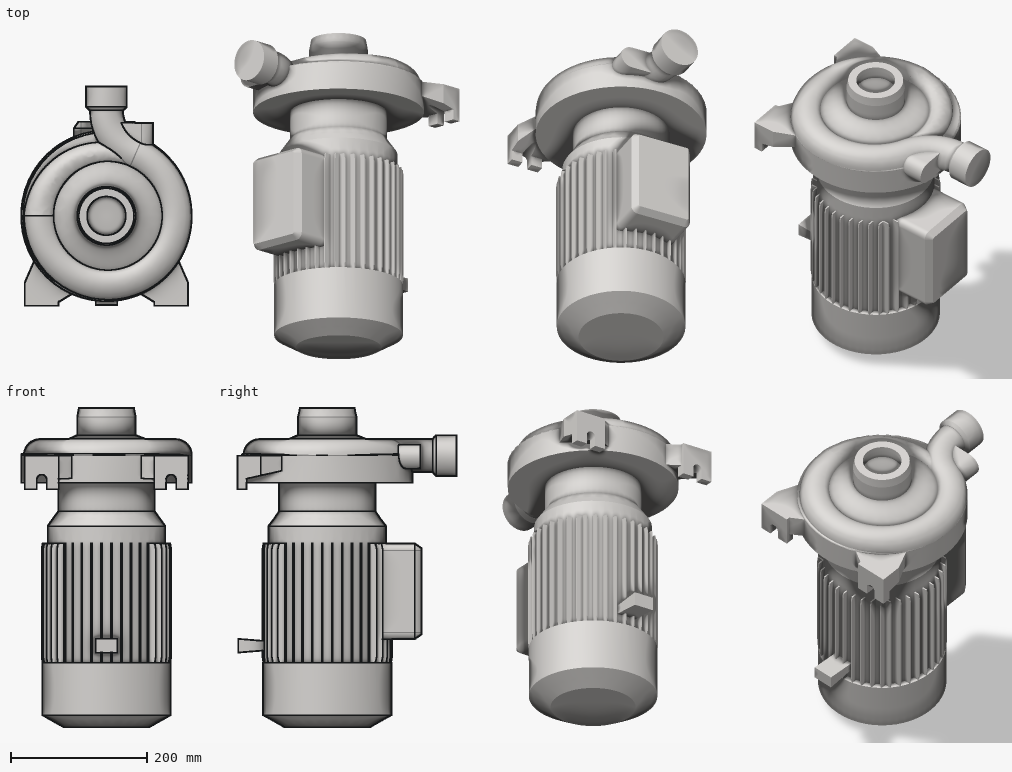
import cadquery as cq
import math


suction_top = 70.0
suction_chamfer_bottom = 57.0
suction_bottom = 30.0
suction_bore_depth = 20.0
casing_top = 3.0
casing_bottom = -40.0
neck_bottom = -82.0
shoulder_top = -103.5
fins_top = -129.0
fins_bottom = -304.0
cowl_edge = -381.0
motor_bottom = -399.0

suction_radius = 43.0
suction_tip_radius = 40.5
suction_bore_radius = 28.5
casing_radius = 125.5
casing_edge_round = 2.8
neck_radius = 71.0
motor_radius = 86.5
cowl_radius = 94.5
cowl_end_radius = 62.5

fin_tip_radius = 95.5
fin_end_inset = 1.3
fin_end_length = 8.0
fin_thickness = 2.0
fin_root_overlap = 3.0
fins_per_side = 10
fin_angle_step = 9.0

tube_radius = 24.4
volute_center_x = 2.2
volute_ring_radius = casing_radius - volute_center_x - tube_radius
cover_radius = 80.0
cover_edge_z = 15.0
taper_start_angle = 180.0
taper_end_angle = 65.0
taper_end_half_width = 14.5
taper_end_half_height = 19.0
taper_sections = 5

outlet_end_y = 190.0
collar_radius = 30.2
collar_back_y = 160.0
collar_chamfer_y = 155.0
collar_neck_radius = 25.0

boss_top = 16.0
boss_round_radius = 17.5
boss_inner_x = 20.0
boss_outer_x = 68.5
boss_inner_y = 80.0
boss_end_y = 136.5

base_y = -132.0
foot_inner_x = 70.0
foot_outer_x = 120.0
foot_center_x = (foot_inner_x + foot_outer_x) / 2
foot_bottom = -49.5
foot_plate_thickness = 13.5
foot_web_outer_z = -34.0
foot_web_slope = 0.227
foot_outer_corner_y = -98.0
foot_inner_corner_y = -126.5
foot_outer_top = (100.0, -52.0)
foot_inner_top = (43.0, -110.0)
foot_root_y = -50.0
slot_width = 14.5
slot_top = -28.0

box_half_width = 48.0
box_bottom = -269.5
box_face_y = 138.5
box_bevel_depth = 10.0
box_bevel_inset = 7.0
box_corner_radius = 10.0

tab_half_width = 16.0
tab_end_y = -131.0
tab_root_y = -85.0
tab_center_z = -279.2
tab_root_height = 13.0
tab_end_height = 20.5


def make_body():
    """Casing disc, neck, motor core and fan cowl as one turned solid."""
    profile = [
        (0, casing_top),
        (casing_radius, casing_top),
        (casing_radius, casing_bottom),
        (neck_radius, casing_bottom),
        (neck_radius, neck_bottom),
        (motor_radius, shoulder_top),
        (motor_radius, fins_bottom),
        (cowl_radius, fins_bottom),
        (cowl_radius, cowl_edge),
        (cowl_end_radius, motor_bottom),
        (0, motor_bottom),
    ]
    body = cq.Workplane("XZ").polyline(profile).close().revolve(360, (0, 0), (0, 1))
    return body.faces(">Z").edges().fillet(casing_edge_round)


def make_fin(offset):
    """One straight fin on the +X side, with a flat tip that slopes inwards at both ends."""
    outer_face = abs(offset) + fin_thickness / 2
    root = math.sqrt(motor_radius**2 - outer_face**2) - fin_root_overlap
    tip = math.sqrt(fin_tip_radius**2 - outer_face**2)
    end_tip = tip - fin_end_inset
    return (
        cq.Workplane("XZ", origin=(0, offset + fin_thickness / 2, 0))
        .polyline([
            (root, fins_top),
            (end_tip, fins_top),
            (tip, fins_top - fin_end_length),
            (tip, fins_bottom + fin_end_length),
            (end_tip, fins_bottom),
            (root, fins_bottom),
        ])
        .close()
        .extrude(fin_thickness)
    )


def make_fins():
    """Parallel fins on each of the four sides of the motor."""
    fins = []
    for index in range(fins_per_side):
        angle = math.radians((index - (fins_per_side - 1) / 2) * fin_angle_step)
        fin = make_fin(cowl_radius * math.sin(angle))
        for side_angle in (0, 90, 180, 270):
            fins.append(fin.rotate((0, 0, 0), (0, 0, 1), side_angle))
    return fins


def volute_section_plane(angle, ring_radius):
    """Plane across the volute tube at an angle about the volute axis."""
    turn = math.radians(angle)
    center = (volute_center_x + ring_radius * math.cos(turn), ring_radius * math.sin(turn), 0)
    return cq.Plane(origin=center, xDir=(0, 0, 1), normal=(math.sin(turn), -math.cos(turn), 0))


def make_volute_and_outlet():
    """Ring tube, its reverse bend into the outlet pipe, and the shrinking start of the volute."""
    bend_radius = (volute_center_x**2 + collar_chamfer_y**2 - volute_ring_radius**2) / (
        2 * (volute_ring_radius + volute_center_x)
    )
    bend_angle = math.degrees(math.atan2(collar_chamfer_y, bend_radius - volute_center_x))

    ring_sweep = bend_angle + 360 - taper_start_angle
    ring = (
        cq.Workplane(volute_section_plane(taper_start_angle, volute_ring_radius))
        .circle(tube_radius)
        .revolve(ring_sweep, (0, volute_ring_radius), (1, volute_ring_radius))
    )
    bend = (
        cq.Workplane("XZ", origin=(0, collar_chamfer_y, 0))
        .circle(tube_radius)
        .revolve(bend_angle, (bend_radius, 0), (bend_radius, 1))
    )
    collar = (
        cq.Workplane("XY")
        .polyline([
            (0, collar_chamfer_y),
            (collar_neck_radius, collar_chamfer_y),
            (collar_radius, collar_back_y),
            (collar_radius, outlet_end_y),
            (0, outlet_end_y),
        ])
        .close()
        .revolve(360, (0, 0), (0, 1))
    )

    wires = []
    for index in range(taper_sections):
        share = index / (taper_sections - 1)
        angle = taper_start_angle + share * (taper_end_angle - taper_start_angle)
        half_width = tube_radius + share * (taper_end_half_width - tube_radius)
        half_height = tube_radius + share * (taper_end_half_height - tube_radius)
        edge_share = math.sqrt(1 - (cover_edge_z / half_height)**2)
        plane = volute_section_plane(angle, cover_radius + half_width * edge_share)
        section = cq.Workplane(plane).ellipse(half_height, half_width, rotation_angle=180)
        wires.append(section.wires().val())
    taper = cq.Workplane(cq.Solid.makeLoft(wires))
    return ring, bend, collar, taper


def make_cover():
    """Filled centre of the volute, closed by a shallow cone up to the suction nozzle."""
    hub = (
        cq.Workplane("XY", origin=(volute_center_x, 0, 0))
        .circle(cover_radius)
        .extrude(cover_edge_z)
    )
    cone = (
        cq.Workplane("XY", origin=(0, 0, cover_edge_z))
        .center(volute_center_x, 0)
        .circle(cover_radius)
        .workplane(offset=suction_bottom - cover_edge_z)
        .center(-volute_center_x, 0)
        .circle(suction_radius)
        .loft()
    )
    return hub.union(cone)


def make_suction():
    """Suction nozzle with a tapered tip and a blind bore."""
    nozzle_profile = [
        (0, cover_edge_z),
        (suction_radius, cover_edge_z),
        (suction_radius, suction_chamfer_bottom),
        (suction_tip_radius, suction_top),
        (0, suction_top),
    ]
    nozzle = cq.Workplane("XZ").polyline(nozzle_profile).close().revolve(360, (0, 0), (0, 1))
    bore = (
        cq.Workplane("XY", origin=(0, 0, suction_top - suction_bore_depth))
        .circle(suction_bore_radius)
        .extrude(suction_bore_depth)
    )
    return nozzle.cut(bore)


def make_boss():
    """Block beside the outlet with a fully rounded outer side."""
    round_center_x = boss_outer_x - boss_round_radius
    boss_bottom = boss_top - 2 * boss_round_radius
    return (
        cq.Workplane("XZ", origin=(0, boss_end_y, 0))
        .moveTo(boss_inner_x, boss_top)
        .lineTo(round_center_x, boss_top)
        .threePointArc((boss_outer_x, boss_top - boss_round_radius), (round_center_x, boss_bottom))
        .lineTo(boss_inner_x, boss_bottom)
        .close()
        .extrude(boss_end_y - boss_inner_y)
    )


def make_foot():
    """Foot on the +X side: sloping web, upright plate and an open-bottomed bolt slot."""
    plan = (
        cq.Workplane("XY", origin=(0, 0, foot_bottom))
        .polyline([
            (foot_inner_x, base_y),
            (foot_outer_x, base_y),
            (foot_outer_x, foot_outer_corner_y),
            foot_outer_top,
            foot_inner_top,
            (foot_inner_x, foot_inner_corner_y),
        ])
        .close()
        .extrude(-foot_bottom)
    )
    plate_back_y = base_y + foot_plate_thickness
    web_root_z = foot_web_outer_z + foot_web_slope * (foot_root_y - plate_back_y)
    side = (
        cq.Workplane("YZ")
        .polyline([
            (base_y, 0),
            (base_y, foot_web_outer_z),
            (plate_back_y, foot_web_outer_z),
            (foot_root_y, web_root_z),
            (foot_root_y, 0),
        ])
        .close()
        .extrude(foot_outer_x)
    )
    plate = (
        cq.Workplane("XY", origin=(foot_center_x, base_y + foot_plate_thickness / 2, foot_bottom))
        .rect(foot_outer_x - foot_inner_x, foot_plate_thickness)
        .extrude(foot_web_outer_z - foot_bottom)
    )
    slot_radius = slot_width / 2
    slot_arc_z = slot_top - slot_radius
    slot = (
        cq.Workplane("XZ", origin=(0, foot_root_y, 0))
        .moveTo(foot_center_x - slot_radius, foot_bottom)
        .lineTo(foot_center_x - slot_radius, slot_arc_z)
        .threePointArc((foot_center_x, slot_top), (foot_center_x + slot_radius, slot_arc_z))
        .lineTo(foot_center_x + slot_radius, foot_bottom)
        .close()
        .extrude(foot_root_y - base_y)
    )
    return plan.intersect(side).union(plate).cut(slot)


def make_terminal_box():
    """Terminal box on the +Y side with rounded corners and a bevelled outer face."""
    box_height = fins_top - box_bottom
    bevel_angle = math.degrees(math.atan2(box_bevel_inset, box_bevel_depth))
    bevel_start_y = box_face_y - box_bevel_depth
    middle_z = (fins_top + box_bottom) / 2
    outline = cq.Sketch().rect(2 * box_half_width, box_height).vertices().fillet(box_corner_radius)
    plane = cq.Plane(origin=(0, bevel_start_y, middle_z), xDir=(-1, 0, 0), normal=(0, 1, 0))
    block = cq.Workplane(plane).placeSketch(outline).extrude(-bevel_start_y)
    bevel = cq.Workplane(plane).placeSketch(outline).extrude(box_bevel_depth, taper=bevel_angle)
    return block.union(bevel)


def make_tab():
    """Support tab on the -Y side, growing taller outwards."""
    return (
        cq.Workplane("YZ", origin=(-tab_half_width, 0, 0))
        .polyline([
            (tab_root_y, tab_center_z + tab_root_height / 2),
            (tab_end_y, tab_center_z + tab_end_height / 2),
            (tab_end_y, tab_center_z - tab_end_height / 2),
            (tab_root_y, tab_center_z - tab_root_height / 2),
        ])
        .close()
        .extrude(2 * tab_half_width)
    )


foot = make_foot()
pieces = [
    *make_fins(),
    *make_volute_and_outlet(),
    make_cover(),
    make_suction(),
    make_boss(),
    foot,
    foot.mirror("YZ"),
    make_terminal_box(),
    make_tab(),
]

result = make_body()
for piece in pieces:
    result = result.union(piece)